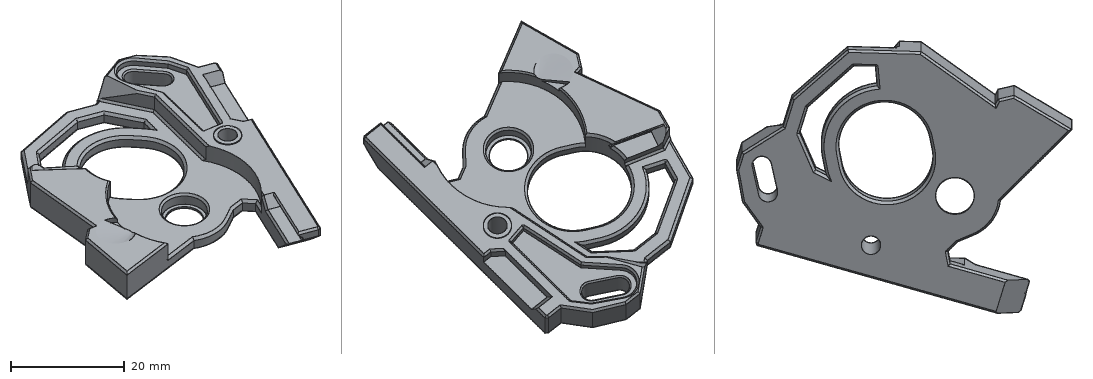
import cadquery as cq
import math


PLATE_TOP = 6.4
FLOOR_TOP = 2.7
BOSS_TOP = 6.6
POCKET_FLOOR = 5.0
RAIL_NOTCH_FLOOR = 4.3
LIP_TOP = 4.5
RIB_TOP = 4.5
DISH_DEPTH = 0.5
DISH_RELIEF_FLOOR = 5.4
COUNTERBORE_FLOOR = 0.4
CLEARANCE = 1.0

EDGE = 0.4
FLOOR_EDGE = 0.5
FOOT = 0.4
FINE_EDGE = 0.3

LENGTH = 56.0
WIDTH = 42.78
X_RIGHT = 17.66
Y_TOP = 18.87
X_LEFT = X_RIGHT - LENGTH
Y_BOTTOM = Y_TOP - WIDTH
RAIL_Y = 12.44

LOBE_R = 8.1
RECESS_R = 13.6
WINDOW_R = 8.1
RING_R = 11.2
WINDOW_CENTERS = ((-13.48, -3.29), (-14.52, -5.3))
PIVOT_D = 6.8
COUNTERBORE_D = 8.1
BOSS_CENTER = (-11.61, 12.98)
BOSS_D = 5.0
SCREW_D = 3.4
SLOT_CENTERS = ((-31.82, 8.8), (-34.31, 4.27))
DISH_CENTER = (4.89, -15.05)
DISH_D = 7.0
DISH_APEX = (5.72, -12.15)

NECK = (1.75, 10.37)
NECK_FLARE = (2.9, 8.15)
LOBE_FLARE_ANGLE = 52
LOBE_END_ANGLE = -10
OUTLINE = [
    (2.8, RAIL_Y),
    (X_RIGHT, RAIL_Y),
    (X_RIGHT, 18.4),
    (17.3, Y_TOP),
    (-30.87, Y_TOP),
    (-31.2, 18.37),
    (-31.2, 15.41),
    (-35.61, 11.85),
    (X_LEFT, 6.37),
    (X_LEFT, 3.05),
    (-32.71, -3.65),
    (-32.71, -9.15),
    (-25.84, -20.59),
    (-13.33, Y_BOTTOM),
    (2.01, -18.22),
    (2.22, -19.32),
    (4.74, -20.8),
    (16.33, -17.6),
]

RIM_WALL = [(-9.0, 8.77), (-26.62, 5.13), (-35.1, -4.98)]
RECESS_OUTSIDE = [(-40, -12), (-30, -28), (-16.4, -27)]
RIB_WALL = [(-16.8, -23.4), (-18.1, -20.45), (-15.0, -10.6)]

RING_WINDOW = [
    (-24.92, 2.47),
    (-29.57, -3.26),
    (-29.57, -8.3),
    (-23.97, -17.93),
    (-20.3, -18.96),
    (-18.0, -13.1),
    (-14.0, -5.0),
    (-20.0, 3.45),
]

POCKET_END_R = 3.0
POCKET_RIGHT_ANGLE = -45
POCKET_LEFT_ANGLE = -210
POCKET = [(-31.26, 13.13), (-15.47, 13.13), (-14.81, 9.69), (-27.11, 7.08)]
POCKET_LEFT_BEND = (-34.04, 10.76)
SLOT_R = SCREW_D / 2

FACET_EDGE = ((-34.73, -0.59), (-28.65, 3.05))
FACET_RUN = 2.8
FACET_LENGTH = 16.3
FACET_REACH = 8.4

NOTCH_LEFT = -28.65
NOTCH_RAMP_RUN = 1.38
NOTCH_WALL_Y = 15.2
NOTCH_CORNER_X = -16.2
NOTCH_RIGHT = -14.57
NOTCH_CORNER_Y = 17.19

LIP_LEFT = 5.72
LIP_WALL_Y = 14.8
LIP_UNDERCUT = 0.7
RAIL_END_HEIGHT = 4.6

CHANNEL_WALL = ((-12.8, -13.48), (-15.91, -22.52))
CHANNEL_WIDTH = 6.0
CHANNEL_UNDERCUT = 0.6
CHANNEL_EDGE = 0.22
CHANNEL_RAMP_RUN = 2.2

DISH_CREASE = ((1.3, -15.85), DISH_APEX)
DISH_TIP_R = 0.05


def polar(radius, angle):
    a = math.radians(angle)
    return (radius * math.cos(a), radius * math.sin(a))


def offset_point(center, radius, angle):
    dx, dy = polar(radius, angle)
    return (center[0] + dx, center[1] + dy)


def at(height):
    return cq.Workplane("XY").workplane(offset=height)


def slot_sketch(plane, centers, radius):
    (x1, y1), (x2, y2) = centers
    length = math.hypot(x1 - x2, y1 - y2)
    angle = math.degrees(math.atan2(y1 - y2, x1 - x2))
    return plane.center((x1 + x2) / 2, (y1 + y2) / 2).slot2D(length + 2 * radius, 2 * radius, angle)


def outline_prism(height, top_edge):
    """Whole outline, chamfered along the underside and along its top."""
    lobe_middle = (LOBE_END_ANGLE + LOBE_FLARE_ANGLE) / 2
    sketch = (
        cq.Workplane("XY")
        .moveTo(*NECK)
        .polyline(OUTLINE, includeCurrent=True)
        .lineTo(*polar(LOBE_R, LOBE_END_ANGLE))
        .threePointArc(polar(LOBE_R, lobe_middle), polar(LOBE_R, LOBE_FLARE_ANGLE))
        .lineTo(*NECK_FLARE)
        .close()
    )
    prism = sketch.extrude(height)
    return prism.faces("<Z").chamfer(EDGE).faces(">Z").chamfer(top_edge)


def through_window(rim_height):
    """Oblong main window, chamfered at the underside and at the given rim height."""
    hole = slot_sketch(at(-CLEARANCE), WINDOW_CENTERS, WINDOW_R).extrude(rim_height + 2 * CLEARANCE)
    rim = slot_sketch(at(rim_height - FLOOR_EDGE), WINDOW_CENTERS, WINDOW_R)
    underside = slot_sketch(at(FLOOR_EDGE), WINDOW_CENTERS, WINDOW_R).extrude(-FLOOR_EDGE, taper=-45)
    return hole.union(rim.extrude(FLOOR_EDGE, taper=-45)).union(underside)


def ring_window():
    """Opening between the ring around the main window and the outer frame."""
    start = FLOOR_TOP - FLOOR_EDGE
    frame = at(0).polyline(RING_WINDOW).close().extrude(FLOOR_TOP)
    ring = slot_sketch(at(0), WINDOW_CENTERS, RING_R).extrude(FLOOR_TOP)
    for height, direction in ((start, 1), (FLOOR_EDGE, -1)):
        depth = direction * FLOOR_EDGE
        frame = frame.union(at(height).polyline(RING_WINDOW).close().extrude(depth, taper=-45))
        ring_edge = slot_sketch(at(height), WINDOW_CENTERS, RING_R)
        chamfered_edge = ring_edge.extrude(depth, taper=45)
        straight_edge = slot_sketch(at(height), WINDOW_CENTERS, RING_R).extrude(depth)
        ring = ring.cut(straight_edge).union(chamfered_edge)
    return frame.cut(ring)


def pivot_hole():
    bore = at(-CLEARANCE).circle(PIVOT_D / 2).extrude(FLOOR_TOP + CLEARANCE)
    seat = at(COUNTERBORE_FLOOR).circle(COUNTERBORE_D / 2).extrude(FLOOR_TOP - COUNTERBORE_FLOOR)
    rim = at(FLOOR_TOP - EDGE).circle(COUNTERBORE_D / 2).extrude(EDGE, taper=-45)
    return bore.union(seat).union(rim)


def undercut_section(front, undercut, edge, bottom):
    """Groove section: the wall, at zero, leans back below a chamfered top and ends in a chamfered foot."""
    return [
        (front, PLATE_TOP),
        (0, PLATE_TOP),
        (-edge, PLATE_TOP - edge),
        (undercut, bottom + edge),
        (undercut - edge, bottom),
        (front, bottom),
    ]


def floor_plate():
    plate = outline_prism(FLOOR_TOP, FLOOR_EDGE)
    return plate.cut(through_window(FLOOR_TOP)).cut(ring_window()).cut(pivot_hole())


def ring_recess():
    """Space above the ring, narrower at the foot and flared at the top of its walls."""
    border = RIM_WALL + RECESS_OUTSIDE + RIB_WALL
    wall_start = FLOOR_TOP + FOOT
    walls = at(wall_start).polyline(border).close().extrude(PLATE_TOP - wall_start)
    foot = at(wall_start).polyline(border).close().extrude(-FOOT, taper=45)
    below = foot.faces("<Z").wires().toPending().extrude(-FLOOR_TOP - CLEARANCE)
    flare = at(PLATE_TOP - EDGE).polyline(border).close().extrude(EDGE, taper=-45)
    return walls.union(foot).union(below).union(flare)


def pivot_recess():
    """Round space above the floor, concentric with the pivot, with its lower rim chamfered."""
    disc = at(-CLEARANCE).circle(RECESS_R).extrude(PLATE_TOP + 2 * CLEARANCE)
    rim = at(PLATE_TOP - FINE_EDGE).circle(RECESS_R).extrude(FINE_EDGE, taper=-45)
    lower_half = at(0).rect(4 * RECESS_R, 2 * RECESS_R).extrude(PLATE_TOP).translate((0, -RECESS_R, 0))
    return disc.union(rim.intersect(lower_half))


def rim_facet():
    """Sloping wedge that takes the lower left end of the tall rim down to the floor."""
    (x1, y1), (x2, y2) = FACET_EDGE
    direction = cq.Vector(x2 - x1, y2 - y1, 0)
    start = cq.Vector(x1, y1, PLATE_TOP) - direction
    plane = cq.Plane(
        origin=start.toTuple(),
        xDir=(-direction.y, direction.x, 0),
        normal=direction.toTuple(),
    )
    drop = PLATE_TOP - FLOOR_TOP
    section = [
        (0, 0),
        (-FACET_RUN, -drop),
        (-FACET_REACH, -drop),
        (-FACET_REACH, CLEARANCE),
        (0, CLEARANCE),
    ]
    return cq.Workplane(plane).polyline(section).close().extrude(FACET_LENGTH)


def rim_pocket():
    """Shallow pocket in the rim whose lower end is concentric with the adjusting slot."""
    end = SLOT_CENTERS[1]

    def sketch(height):
        return (
            at(height)
            .polyline(POCKET)
            .lineTo(*offset_point(end, POCKET_END_R, POCKET_RIGHT_ANGLE))
            .threePointArc(
                offset_point(end, POCKET_END_R, (POCKET_RIGHT_ANGLE + POCKET_LEFT_ANGLE) / 2),
                offset_point(end, POCKET_END_R, POCKET_LEFT_ANGLE),
            )
            .lineTo(*POCKET_LEFT_BEND)
            .close()
        )

    walls = sketch(POCKET_FLOOR).extrude(PLATE_TOP - POCKET_FLOOR)
    return walls.union(sketch(PLATE_TOP - EDGE).extrude(EDGE, taper=-45))


def adjusting_slot():
    hole = slot_sketch(at(-CLEARANCE), SLOT_CENTERS, SLOT_R).extrude(POCKET_FLOOR + 2 * CLEARANCE)
    rim = slot_sketch(at(POCKET_FLOOR - FINE_EDGE), SLOT_CENTERS, SLOT_R)
    return hole.union(rim.extrude(FINE_EDGE, taper=-45))


def rail_notch():
    """Step in the upper edge of the rail with a steep left end and a cornered right end."""
    plan = [
        (NOTCH_LEFT, Y_TOP + CLEARANCE),
        (NOTCH_LEFT, NOTCH_WALL_Y),
        (NOTCH_CORNER_X, NOTCH_WALL_Y),
        (NOTCH_RIGHT, NOTCH_CORNER_Y),
        (NOTCH_RIGHT, Y_TOP + CLEARANCE),
    ]
    depth = PLATE_TOP - RAIL_NOTCH_FLOOR
    step = at(RAIL_NOTCH_FLOOR).polyline(plan).close().extrude(depth)
    ramp = (
        cq.Workplane("XZ", origin=(0, Y_TOP + CLEARANCE, 0))
        .moveTo(NOTCH_LEFT, PLATE_TOP)
        .lineTo(NOTCH_LEFT + NOTCH_RAMP_RUN, RAIL_NOTCH_FLOOR)
        .lineTo(NOTCH_LEFT - CLEARANCE, RAIL_NOTCH_FLOOR)
        .lineTo(NOTCH_LEFT - CLEARANCE, PLATE_TOP)
        .close()
        .extrude(Y_TOP - NOTCH_WALL_Y + 2 * CLEARANCE)
    )
    right_edge = [
        (NOTCH_CORNER_X, NOTCH_WALL_Y),
        (NOTCH_RIGHT, NOTCH_CORNER_Y),
        (NOTCH_RIGHT, Y_TOP + CLEARANCE),
        (NOTCH_CORNER_X, Y_TOP + CLEARANCE),
    ]
    flare = at(PLATE_TOP - EDGE).polyline(right_edge).close().extrude(EDGE, taper=-45)
    above_wall = at(0).box(X_RIGHT, Y_TOP, PLATE_TOP, centered=False)
    above_wall = above_wall.translate((NOTCH_CORNER_X, NOTCH_WALL_Y, 0))
    return step.cut(ramp).union(flare.intersect(above_wall))


def lip_groove():
    """Groove with an undercut wall that leaves a low lip, ramped at its left end, along the rail."""
    section = undercut_section(RAIL_Y - LIP_WALL_Y - CLEARANCE, LIP_UNDERCUT, FINE_EDGE, LIP_TOP)
    groove = cq.Workplane("YZ", origin=(LIP_LEFT, LIP_WALL_Y, 0)).polyline(section).close()
    groove = groove.extrude(X_RIGHT - LIP_LEFT + CLEARANCE)
    depth = PLATE_TOP - LIP_TOP
    above_lip = [
        (LIP_LEFT - CLEARANCE, PLATE_TOP + CLEARANCE),
        (LIP_LEFT + depth, LIP_TOP),
        (X_RIGHT + CLEARANCE, LIP_TOP),
        (X_RIGHT + CLEARANCE, PLATE_TOP + CLEARANCE),
    ]
    ramped_space = cq.Workplane("XZ", origin=(0, Y_TOP, 0)).polyline(above_lip).close().extrude(Y_TOP)
    front_edge = cq.Workplane("XZ", origin=(0, RAIL_Y + EDGE, 0)).polyline(above_lip).close()
    return groove.intersect(ramped_space).union(front_edge.extrude(EDGE, taper=-45))


def rail_end_slope():
    """Underside of the rail's right end, cut back at 45 degrees."""
    section = [
        (X_RIGHT, RAIL_END_HEIGHT),
        (X_RIGHT - RAIL_END_HEIGHT - CLEARANCE, -CLEARANCE),
        (X_RIGHT + CLEARANCE, -CLEARANCE),
        (X_RIGHT + CLEARANCE, RAIL_END_HEIGHT),
    ]
    slope = cq.Workplane("XZ", origin=(0, Y_TOP + CLEARANCE, 0)).polyline(section).close()
    return slope.extrude(Y_TOP - RAIL_Y + 2 * CLEARANCE)


def rib_channel():
    """Channel along the rib, with an undercut right wall, rising to full height at its outer end."""
    (x1, y1), (x2, y2) = CHANNEL_WALL
    direction = cq.Vector(x2 - x1, y2 - y1, 0)
    run = direction.Length
    across = (direction.y, -direction.x, 0)
    start = cq.Vector(x1, y1, 0) - direction.normalized() * 2 * CLEARANCE
    section = undercut_section(-CHANNEL_WIDTH, CHANNEL_UNDERCUT, CHANNEL_EDGE, RIB_TOP)
    section_plane = cq.Plane(
        origin=start.toTuple(),
        xDir=(-direction.y, direction.x, 0),
        normal=direction.toTuple(),
    )
    channel = cq.Workplane(section_plane).polyline(section).close().extrude(run + 4 * CLEARANCE)
    ramp_plane = cq.Plane(origin=(x1, y1, 0), xDir=direction.toTuple(), normal=across)
    ramp = [
        (run - CHANNEL_RAMP_RUN, RIB_TOP),
        (run, PLATE_TOP),
        (run + 3 * CLEARANCE, PLATE_TOP),
        (run + 3 * CLEARANCE, RIB_TOP),
    ]
    ramp_block = cq.Workplane(ramp_plane).polyline(ramp).close().extrude(CHANNEL_WIDTH, both=True)
    rib_top = [
        (-CHANNEL_WIDTH, RIB_TOP - FLOOR_EDGE),
        (CHANNEL_UNDERCUT - CHANNEL_EDGE, RIB_TOP - FLOOR_EDGE),
        (CHANNEL_UNDERCUT - CHANNEL_EDGE, RIB_TOP),
        (-CHANNEL_WIDTH, RIB_TOP),
    ]
    window_rim = cq.Workplane(section_plane).polyline(rib_top).close().extrude(run)
    window_rim = window_rim.intersect(through_window(RIB_TOP))
    return channel.cut(ramp_block).union(window_rim)


def foot_dish():
    """Shallow lopsided cone in the foot, with a deeper relief on its upper left side."""
    cone = (
        at(PLATE_TOP)
        .center(*DISH_CENTER)
        .circle(DISH_D / 2)
        .workplane(offset=-DISH_DEPTH)
        .center(DISH_APEX[0] - DISH_CENTER[0], DISH_APEX[1] - DISH_CENTER[1])
        .circle(DISH_TIP_R)
        .loft()
    )
    (x1, y1), (x2, y2) = DISH_CREASE
    upper_left = [(x1, y1), (x2, y2), (x2, y2 + DISH_D), (x1, y2 + DISH_D)]
    depth = PLATE_TOP - DISH_RELIEF_FLOOR
    relief = at(DISH_RELIEF_FLOOR).polyline(upper_left).close().extrude(depth)
    relief = relief.intersect(at(0).center(*DISH_CENTER).circle(DISH_D / 2).extrude(PLATE_TOP))
    return cone.union(relief)


def boss():
    base = PLATE_TOP - CLEARANCE
    return at(base).center(*BOSS_CENTER).circle(BOSS_D / 2).extrude(BOSS_TOP - base)


def screw_hole():
    return at(-CLEARANCE).center(*BOSS_CENTER).circle(SCREW_D / 2).extrude(BOSS_TOP + 2 * CLEARANCE)


tall_body = outline_prism(PLATE_TOP, EDGE)
for cut_space in (
    ring_recess(),
    pivot_recess(),
    through_window(PLATE_TOP),
    rim_facet(),
    rim_pocket(),
    rail_notch(),
    lip_groove(),
    rib_channel(),
    foot_dish(),
):
    tall_body = tall_body.cut(cut_space)

result = tall_body.union(floor_plate()).union(boss())
for opening in (adjusting_slot(), screw_hole(), rail_end_slope()):
    result = result.cut(opening)